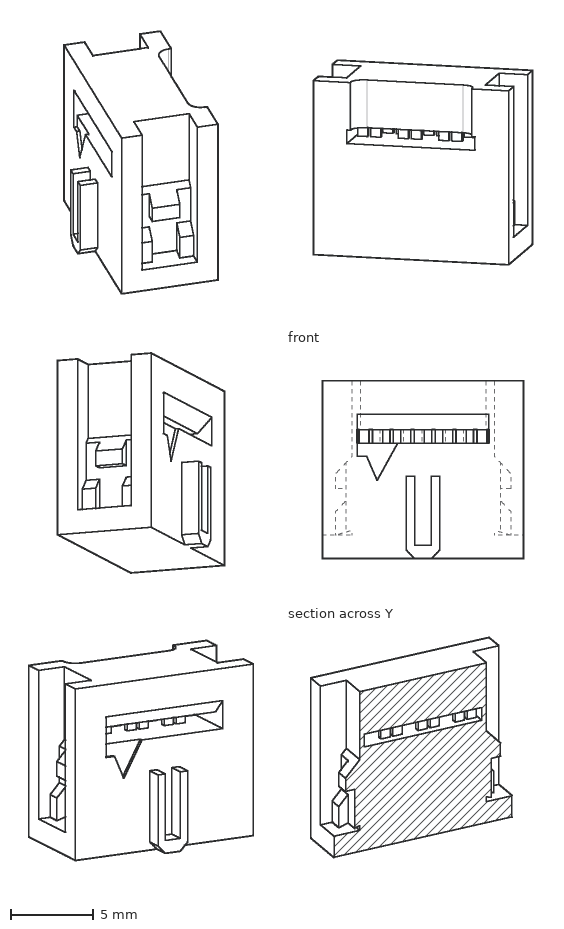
import cadquery as cq


width = 12.2
depth = 6.1
height = 10.8

pocket_wall = 1.3
pocket_depth = 1.77
pocket_floor = 1.45

latch_top = 6.21
plate_inset = 1.43
tip_inset = 0.79
lead_slope = 1.06
barb_width = 1.75
barb_bottom = 4.26
foot_width = (depth - 2 * pocket_wall - barb_width) / 2
foot_top = 3.55
underside_slope = 0.3
foot_sink = 0.006

slot_width = 8.0
slot_bottom = 7.0
slot_top = 7.83
mouth_top = 8.77
lip_depth = mouth_top - slot_top

groove_width = 7.59
groove_depth = 0.99
groove_radius = 0.79

contact_count = 6
contact_pitch = 1.27
contact_width = 1.44
contact_thickness = 0.3
contact_gap = 0.2
row_offset = 0.63

mark_depth = 0.21
mark_ledge_width = 0.59
mark_ledge_drop = 0.79
mark_tip_offset = 1.22
mark_tip_drop = 2.26
mark_width = 2.46

key_width = 2.03
key_height = 5.0
key_depth = 1.1
key_arm = 0.5
key_notch_bottom = 0.82
key_chamfer_height = 0.52


def box(x_range, y_range, z_range):
    """Block filling the given ranges along X, Y and Z."""
    size = [high - low for low, high in (x_range, y_range, z_range)]
    corner = (x_range[0], y_range[0], z_range[0])
    return cq.Workplane("XY").box(*size, centered=False).translate(corner)


def prism(points, y_start, y_end):
    """XZ outline extruded from y_start to y_end."""
    plane = cq.Workplane("XZ", origin=(0, y_start, 0))
    return plane.polyline(points).close().extrude(y_start - y_end)


def both_ends(left_shape):
    """A shape at the -X end together with its mirror image at the +X end."""
    return left_shape.union(left_shape.mirror("YZ"))


def end_pocket():
    return box(
        (-width / 2, pocket_depth - width / 2),
        (pocket_wall, depth - pocket_wall),
        (pocket_floor, height),
    )


def latch():
    """Back plate with a barb in the middle and a foot on each side, undercut by a sloped clearance."""

    def profile(front_inset, back_inset, top, bottom):
        front_top = top - lead_slope * (back_inset - front_inset)
        outline = [
            (back_inset, top),
            (front_inset, front_top),
            (front_inset, bottom(front_inset)),
            (back_inset, bottom(back_inset)),
        ]
        return [(inset - width / 2, z) for inset, z in outline]

    def underside(inset):
        return pocket_floor - foot_sink + underside_slope * (inset - tip_inset)

    def barb_underside(_inset):
        return barb_bottom

    y_front = pocket_wall
    y_back = depth - pocket_wall
    plate = prism(profile(plate_inset, pocket_depth, latch_top, underside), y_front, y_back)
    barb_outline = profile(tip_inset, pocket_depth, latch_top, barb_underside)
    barb = prism(barb_outline, y_front + foot_width, y_back - foot_width)
    foot_outline = profile(tip_inset, plate_inset, foot_top, underside)
    front_foot = prism(foot_outline, y_front, y_front + foot_width)
    back_foot = prism(foot_outline, y_back - foot_width, y_back)
    return plate.union(barb).union(front_foot).union(back_foot)


def cable_slot():
    outline = [
        (0, slot_bottom),
        (depth, slot_bottom),
        (depth, slot_top),
        (lip_depth, slot_top),
        (0, mouth_top),
    ]
    plane = cq.Workplane("YZ", origin=(-slot_width / 2, 0, 0))
    return plane.polyline(outline).close().extrude(slot_width)


def exit_groove():
    x_half = groove_width / 2
    groove = box((-x_half, x_half), (depth - groove_depth, depth + groove_depth), (slot_bottom, height))
    return groove.edges("|Z and <Y").fillet(groove_radius)


def contacts():
    """Forked contacts, the first and every second one after it in the front row."""
    prongs = cq.Workplane("XY")
    prong_width = (contact_width - contact_gap) / 2
    for index in range(contact_count):
        x_mid = (index - (contact_count - 1) / 2) * contact_pitch
        row_side = -1 if index % 2 == 0 else 1
        y_mid = depth / 2 + row_side * row_offset
        for side in (-1, 1):
            x_prong = x_mid + side * (contact_gap + prong_width) / 2
            prongs = prongs.union(box(
                (x_prong - prong_width / 2, x_prong + prong_width / 2),
                (y_mid - contact_thickness / 2, y_mid + contact_thickness / 2),
                (slot_bottom, slot_top),
            ))
    return prongs


def pin_one_mark():
    x_left = -slot_width / 2
    outline = [
        (x_left, slot_bottom),
        (x_left, slot_bottom - mark_ledge_drop),
        (x_left + mark_ledge_width, slot_bottom - mark_ledge_drop),
        (x_left + mark_tip_offset, slot_bottom - mark_tip_drop),
        (x_left + mark_width, slot_bottom),
    ]
    return prism(outline, 0, mark_depth)


def polarising_key():
    """U-shaped rib with chamfered lower corners, flush with the base."""
    x_outer = key_width / 2
    x_inner = x_outer - key_arm
    right_half = [
        (x_inner, 0),
        (x_outer, key_chamfer_height),
        (x_outer, key_height),
        (x_inner, key_height),
        (x_inner, key_notch_bottom),
    ]
    left_half = [(-x, z) for x, z in reversed(right_half)]
    return prism(right_half + left_half, -key_depth, 0)


housing = box((-width / 2, width / 2), (0, depth), (0, height))
housing = housing.cut(both_ends(end_pocket())).union(both_ends(latch()))
housing = housing.cut(cable_slot()).cut(exit_groove()).cut(pin_one_mark())
result = housing.union(contacts()).union(polarising_key())